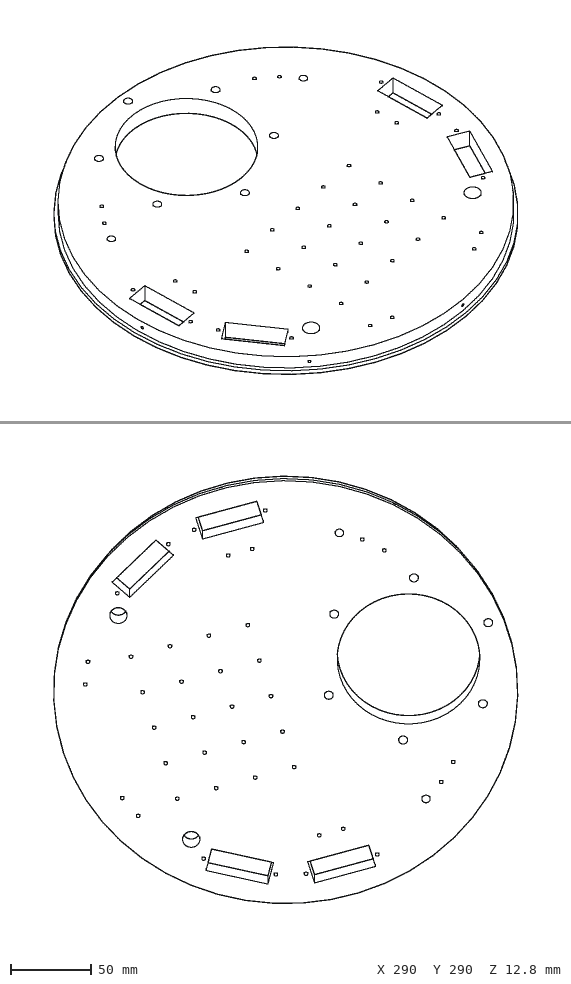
import cadquery as cq
import math

flange_diameter = 290.0
body_diameter = 284.8
thickness = 12.8
flange_thickness = 3.2

opening_diameter = 89.0
opening_x = -80.0
ring_radius = 55.7
ring_hole_count = 6
ring_start_angle = -10.0
ring_hole_diameter = 5.5

slot_length = 39.7
slot_width = 15.0
slot_radius = 123.0
slot_angles = (60.0, 90.0)
slot_screw_offset = 23.2

screw_diameter = 2.25
pair_offset = 7.8
screw_pairs = ((100.0, 90.0), (114.8, 135.0), (125.0, 22.5))

cable_hole_diameter = 10.7
cable_hole_position = (85.3, 80.0)
bolt_hole_diameter = 5.2
bolt_hole_position = (-63.2, 95.0)

grid_hole_diameter = 2.25
grid_span_y = 101.5
grid_columns = 4
grid_rows = 5
grid_first_column_x = 9.5
grid_pitch = grid_span_y / (grid_rows - 1)
grid_center_x = grid_first_column_x + grid_pitch * (grid_columns - 1) / 2

rim_hole_diameter = 1.77
rim_hole_depth = 8.7
rim_hole_count = 8


def on_radius(radius, angle, sideways=0.0):
    """Point at a polar position, shifted sideways square to the radius."""
    a = math.radians(angle)
    return (
        radius * math.cos(a) - sideways * math.sin(a),
        radius * math.sin(a) + sideways * math.cos(a),
    )


def mirrored(points):
    """The points together with their mirror images across the X axis."""
    return points + [(x, -y) for x, y in points]


def drill(part, points, diameter):
    """Cut vertical through holes at the points."""
    drills = cq.Workplane("XY").pushPoints(points).circle(diameter / 2).extrude(thickness)
    return part.cut(drills)


def cut_slot(part, angle):
    """Cut a through slot whose long side is square to the radius."""
    slot = (
        cq.Workplane("XY")
        .center(slot_radius, 0)
        .rect(slot_width, slot_length)
        .extrude(thickness)
        .rotate((0, 0, 0), (0, 0, 1), angle)
    )
    return part.cut(slot)


def cut_rim_hole(part, angle):
    """Cut a blind hole into the body's side wall, pointing at the disc centre."""
    mid_height = (flange_thickness + thickness) / 2
    depth_from_flange_edge = (flange_diameter - body_diameter) / 2 + rim_hole_depth
    hole = (
        cq.Workplane("YZ", origin=(flange_diameter / 2, 0, mid_height))
        .circle(rim_hole_diameter / 2)
        .extrude(-depth_from_flange_edge)
        .rotate((0, 0, 0), (0, 0, 1), angle)
    )
    return part.cut(hole)


flange = cq.Workplane("XY").circle(flange_diameter / 2).extrude(flange_thickness)
body = cq.Workplane("XY").circle(body_diameter / 2).extrude(thickness)
result = flange.union(body)

result = drill(result, [(opening_x, 0)], opening_diameter)
ring_points = []
for i in range(ring_hole_count):
    x, y = on_radius(ring_radius, ring_start_angle + i * 360 / ring_hole_count)
    ring_points.append((opening_x + x, y))
result = drill(result, ring_points, ring_hole_diameter)

for slot_angle in slot_angles:
    result = cut_slot(result, slot_angle)
    result = cut_slot(result, -slot_angle)

screw_points = []
for side in (-1, 1):
    for slot_angle in slot_angles:
        screw_points.append(on_radius(slot_radius, slot_angle, side * slot_screw_offset))
    for pair_radius, pair_angle in screw_pairs:
        screw_points.append(on_radius(pair_radius, pair_angle, side * pair_offset))
result = drill(result, mirrored(screw_points), screw_diameter)

result = drill(result, mirrored([cable_hole_position]), cable_hole_diameter)
result = drill(result, mirrored([bolt_hole_position]), bolt_hole_diameter)

grid = (
    cq.Workplane("XY")
    .center(grid_center_x, 0)
    .rarray(grid_pitch, grid_pitch, grid_columns, grid_rows)
    .circle(grid_hole_diameter / 2)
    .extrude(thickness)
)
result = result.cut(grid)

for i in range(rim_hole_count):
    result = cut_rim_hole(result, i * 360 / rim_hole_count)